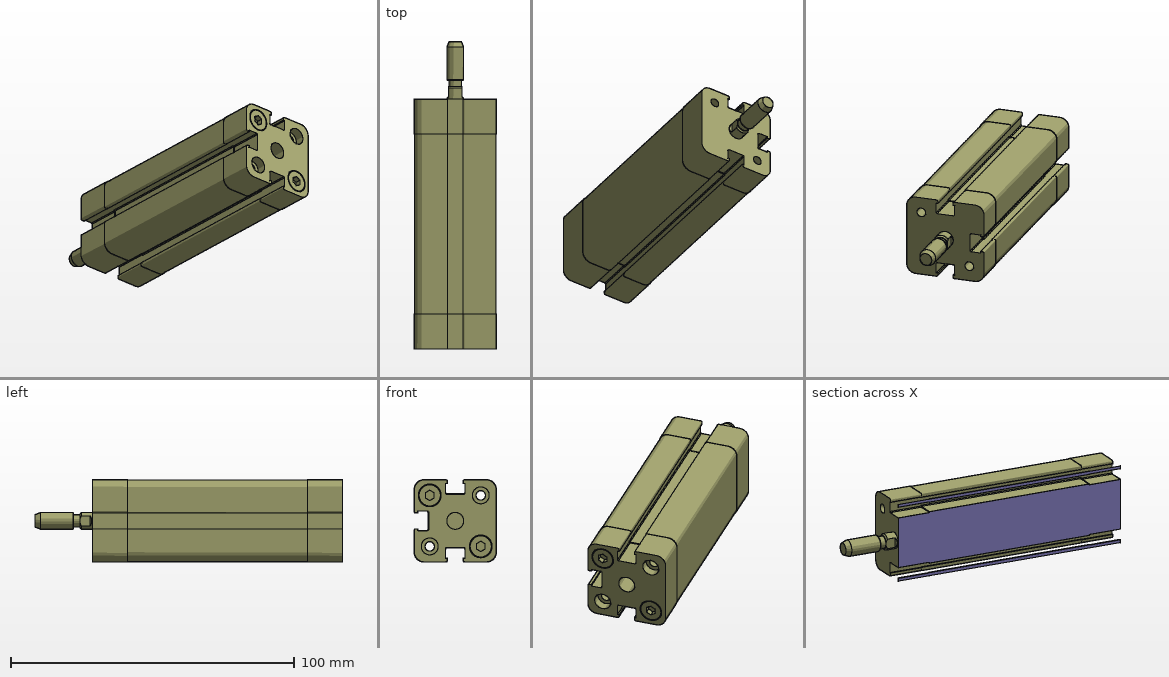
import cadquery as cq
import math

total_length = 108.5
rod_length = 20.3
barrel_length = total_length - rod_length
cap_length = 12.4
cap_side = 29.1
tube_side = 28.9
corner_radius = 3.5

slot_mouth = 5.6
slot_width = 6.8
lip_thickness = 1.3
cap_slot_depth = 5.2
tube_slot_depth = 4.8
slot_floor_chamfer = 0.3
cap_lip_radius = 0.7
tube_lip_radius = 0.2
slot_turns = (0, 90, 180)

hole_offset = 9.0
through_diameter = 3.3
counterbore_diameter = 6.0
counterbore_depth = 3.5
screw_recess_diameter = 8.0
screw_head_diameter = 7.5
screw_gap_depth = 4.0
socket_across_flats = 3.1
socket_depth = 2.2
through_places = [(hole_offset, hole_offset), (-hole_offset, -hole_offset)]
screw_places = [(-hole_offset, hole_offset), (hole_offset, -hole_offset)]

centre_hole_diameter = 6.0
centre_hole_depth = 11.9

rod_diameter = 6.0
neck_diameter = 4.5
tip_diameter = 4.5
tip_taper = 2.0
head_length = 13.7
neck_end = 15.8
shoulder_chamfer = 0.5
head_edge_chamfer = 0.3
across_flats = 4.8
flat_end_gap = 0.9


def rear_plane(y):
    """Sketch plane at height y along the barrel, with X and Z as sketch axes, extruding toward -Y."""
    return cq.Workplane("XZ", origin=(0, y, 0))


def slot_cutter(start, length, side, depth, lip_radius):
    """Slot along the +Z side with a rounded, narrow mouth and a wider, chamfered floor."""
    top = side / 2
    lip_bottom = top - lip_thickness
    floor = top - depth
    mouth = slot_mouth / 2
    wall = slot_width / 2
    lip_round_bottom = top - lip_radius
    half_width_at_top = mouth + lip_radius
    below_right_lip = [
        (mouth, lip_bottom),
        (wall, lip_bottom),
        (wall, floor + slot_floor_chamfer),
        (wall - slot_floor_chamfer, floor),
    ]
    below_left_lip = [(-x, z) for x, z in reversed(below_right_lip)]
    return (
        rear_plane(start)
        .moveTo(half_width_at_top, top)
        .radiusArc((mouth, lip_round_bottom), -lip_radius)
        .polyline(below_right_lip + below_left_lip, includeCurrent=True)
        .lineTo(-mouth, lip_round_bottom)
        .radiusArc((-half_width_at_top, top), -lip_radius)
        .close()
        .extrude(-length)
    )


def barrel_section(start, length, side, slot_depth, lip_radius):
    """One length of the rounded square barrel with its three slots."""
    section = rear_plane(start).rect(side, side).extrude(-length).edges("|Y").fillet(corner_radius)
    cutter = slot_cutter(start, length, side, slot_depth, lip_radius)
    for turn in slot_turns:
        section = section.cut(cutter.rotate((0, 0, 0), (0, 1, 0), -turn))
    return section


def rod():
    """Turned rod with a tapered tip, a neck and two wrench flats facing -X and +X."""
    radius = rod_diameter / 2
    neck_radius = neck_diameter / 2
    head_start = total_length - head_length
    neck_start = total_length - neck_end
    profile = [
        (0, barrel_length),
        (radius, barrel_length),
        (radius, neck_start - shoulder_chamfer),
        (radius - shoulder_chamfer, neck_start),
        (neck_radius, neck_start),
        (neck_radius, head_start),
        (radius - head_edge_chamfer, head_start),
        (radius, head_start + head_edge_chamfer),
        (radius, total_length - tip_taper),
        (tip_diameter / 2, total_length),
        (0, total_length),
    ]
    turned = cq.Workplane("XY").polyline(profile).close().revolve(360, (0, 0, 0), (0, 1, 0))

    flat_x = across_flats / 2
    slope_start = barrel_length + flat_end_gap
    flat_outline = [
        (flat_x, slope_start),
        (flat_x + flat_end_gap, barrel_length),
        (rod_diameter, barrel_length),
        (rod_diameter, neck_start),
        (flat_x, neck_start),
    ]
    flat = cq.Workplane("XY").polyline(flat_outline).close().extrude(rod_diameter / 2, both=True)
    return turned.cut(flat).cut(flat.mirror("YZ"))


def mounting_holes():
    """Counterbored holes running the full length of the barrel."""
    bores = rear_plane(0).pushPoints(through_places).circle(through_diameter / 2).extrude(-barrel_length)
    recesses = (
        rear_plane(0).pushPoints(through_places).circle(counterbore_diameter / 2).extrude(-counterbore_depth)
    )
    return bores.union(recesses)


def screw_recesses():
    """Gap around each flush screw head and the hexagon socket in it, points toward +Z and -Z."""
    gaps = (
        rear_plane(0)
        .pushPoints(screw_places)
        .circle(screw_recess_diameter / 2)
        .circle(screw_head_diameter / 2)
        .extrude(-screw_gap_depth)
    )
    socket_corners = socket_across_flats / math.cos(math.radians(30))
    for x, z in screw_places:
        socket = rear_plane(0).polygon(6, socket_corners).extrude(-socket_depth)
        gaps = gaps.union(socket.rotate((0, 0, 0), (0, 1, 0), 30).translate((x, 0, z)))
    return gaps


tube_length = barrel_length - 2 * cap_length
rear_cap = barrel_section(0, cap_length, cap_side, cap_slot_depth, cap_lip_radius)
tube = barrel_section(cap_length, tube_length, tube_side, tube_slot_depth, tube_lip_radius)
front_cap = barrel_section(cap_length + tube_length, cap_length, cap_side, cap_slot_depth, cap_lip_radius)
centre_hole = rear_plane(0).circle(centre_hole_diameter / 2).extrude(-centre_hole_depth)

result = (
    rear_cap.union(tube)
    .union(front_cap)
    .union(rod())
    .cut(mounting_holes())
    .cut(screw_recesses())
    .cut(centre_hole)
)